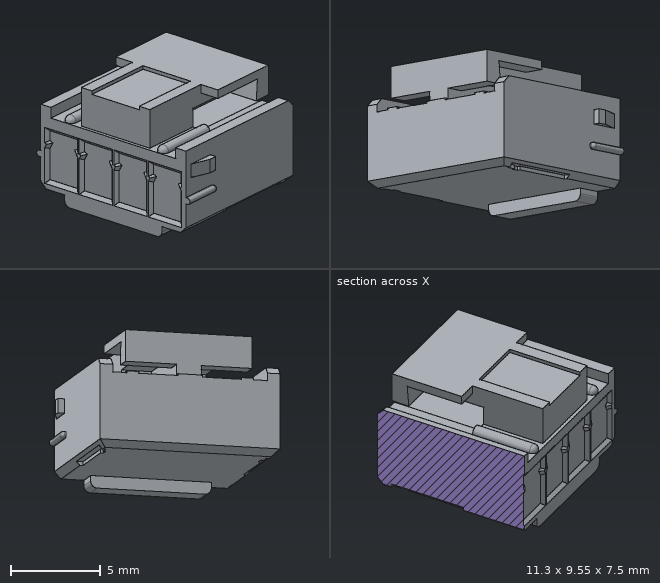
import cadquery as cq
import math


BODY_W = 10.51
BODY_DEPTH = 9.55
BODY_BOTTOM = 0.7
RIM_TOP = 5.8
RIM_W = 0.75
DECK_Z = 5.14
CHAMFER = 0.4

STEP_Y = 4.06
LOW_DECK_Z = 4.97
RAIL_Z = 5.07
CENTRE_RAIL_W = 1.44

POST_R = 0.35
POST_X = 3.35
POST_Z = 5.19
POST_TIP_Y = 0.03

LATCH_TOP = 7.5
LATCH_FRONT_Y = 0.21
LATCH_BACK_Y = 9.29
STEM_W = 4.95
WING_W = 2 * (POST_X + POST_R)
WING_FRONT_Y = 4.77
WING_UNDER_Z = 6.98
ARCH_TOP_Z = 6.28
HOOK_BOTTOM_Z = 5.67
HOOK_TOP_Y = 8.29
HOOK_BOTTOM_Y = 8.19
PAD_W = 3.42
PAD_DEPTH = 0.21

CELL_COUNT = 4
CELL_PITCH = 2.5
CELL_W = 2.41
CELL_BOTTOM = 1.03
CELL_TOP = 4.45
CELL_SLOPE = 0.21
BARB_TOP_Z = 3.51
BARB_TIP_Z = 3.45
BARB_BOTTOM_Z = 3.21
BARB_REACH = 0.12

SPAN_X = 11.3
WEDGE_BOTTOM = 4.02
WEDGE_TOP = 4.85
WEDGE_START_Y = 0.47
WEDGE_CREST_Y = 1.66
WEDGE_END_Y = 2.17

RIB_R = 0.198
RIB_TIP_X = 5.55
RIB_Z = 2.76
RIB_STRAIGHT_Y = 2.29

ROOT_DEPTH = 0.17

FOOT_W = 7.05
FOOT_DEPTH = 1.44
FOOT_R = 0.38

RECESS_TOP = 0.92
RECESS_STEPS = [(3.97, 7.65, 4.69), (7.65, 8.09, 4.52), (8.09, 8.65, 4.69)]


def block(x0, x1, y0, y1, z0, z1):
    return cq.Workplane("XY").box(x1 - x0, y1 - y0, z1 - z0, centered=False).translate((x0, y0, z0))


def centred_block(width, y0, y1, z0, z1):
    return block(-width / 2, width / 2, y0, y1, z0, z1)


def both_sides(shape):
    """The shape together with its mirror image across the YZ plane."""
    return shape.union(shape.mirror("YZ"))


def housing():
    body = centred_block(BODY_W, 0, BODY_DEPTH, BODY_BOTTOM, RIM_TOP)
    body = body.edges("<Z and (>X or <X or >Y)").chamfer(CHAMFER)
    body = body.edges(">Z and >Y").chamfer(CHAMFER)
    channel_w = BODY_W - 2 * RIM_W
    body = body.cut(centred_block(channel_w, 0, BODY_DEPTH, DECK_Z, RIM_TOP))
    return body.cut(centred_block(channel_w, STEP_Y, BODY_DEPTH, LOW_DECK_Z, RIM_TOP))


def rails():
    """Rails behind the posts and on the centre line, where a web rises to carry the latch."""
    centre = centred_block(CENTRE_RAIL_W, STEP_Y, BODY_DEPTH, BODY_BOTTOM + CHAMFER, RAIL_Z)
    web = centred_block(CENTRE_RAIL_W, STEP_Y, LATCH_BACK_Y, LOW_DECK_Z, ARCH_TOP_Z)
    side = block(POST_X - POST_R, POST_X + POST_R, STEP_Y, BODY_DEPTH, BODY_BOTTOM + CHAMFER, RAIL_Z)
    return centre.union(web).union(both_sides(side))


def posts():
    ball_y = POST_TIP_Y + POST_R
    axis = cq.Workplane("XZ", origin=(POST_X, ball_y, POST_Z))
    post = axis.circle(POST_R).extrude(ball_y - STEP_Y)
    return both_sides(post.union(axis.sphere(POST_R)))


def latch():
    stem = centred_block(STEM_W, LATCH_FRONT_Y, LATCH_BACK_Y, LOW_DECK_Z, LATCH_TOP)
    stem = stem.cut(centred_block(STEM_W, STEP_Y, LATCH_BACK_Y, LOW_DECK_Z, ARCH_TOP_Z))
    wings_and_hook = (
        cq.Workplane("YZ", origin=(-WING_W / 2, 0, 0))
        .polyline([
            (WING_FRONT_Y, LATCH_TOP),
            (WING_FRONT_Y, WING_UNDER_Z),
            (HOOK_TOP_Y, WING_UNDER_Z),
            (HOOK_BOTTOM_Y, HOOK_BOTTOM_Z),
            (LATCH_BACK_Y, HOOK_BOTTOM_Z),
            (LATCH_BACK_Y, LATCH_TOP),
        ])
        .close()
        .extrude(WING_W)
    )
    pad = centred_block(PAD_W, LATCH_FRONT_Y, WING_FRONT_Y, LATCH_TOP - PAD_DEPTH, LATCH_TOP)
    return stem.union(wings_and_hook).cut(pad)


def inset_outline(points, inset):
    """Counterclockwise outline with every edge moved inwards by the inset and the corners kept sharp."""
    moved = []
    for i, (x, z) in enumerate(points):
        before = points[i - 1]
        after = points[(i + 1) % len(points)]
        angle_in = math.atan2(z - before[1], x - before[0])
        angle_out = math.atan2(after[1] - z, after[0] - x)
        half_turn = (angle_out - angle_in) / 2
        inward = angle_in + half_turn + math.pi / 2
        reach = inset / math.cos(half_turn)
        moved.append((x + reach * math.cos(inward), z + reach * math.sin(inward)))
    return moved


def cell(centre_x):
    """Shallow cell with 45-degree walls and a pointed barb on each side wall."""
    half = CELL_W / 2
    barb = half - BARB_REACH
    right_side = [
        (half, CELL_BOTTOM),
        (half, BARB_BOTTOM_Z),
        (barb, BARB_TIP_Z),
        (half, BARB_TOP_Z),
        (half, CELL_TOP),
    ]
    left_side = [(-x, z) for x, z in reversed(right_side)]
    mouth = right_side + left_side
    return (
        cq.Workplane("XZ", origin=(centre_x, 0, 0))
        .polyline(mouth)
        .close()
        .workplane(offset=-CELL_SLOPE)
        .polyline(inset_outline(mouth, CELL_SLOPE))
        .close()
        .loft(ruled=True)
    )


def wedges():
    root = BODY_W / 2
    wedge = (
        cq.Workplane("XY", origin=(0, 0, WEDGE_BOTTOM))
        .polyline([
            (root - ROOT_DEPTH, WEDGE_START_Y),
            (root, WEDGE_START_Y),
            (SPAN_X / 2, WEDGE_CREST_Y),
            (SPAN_X / 2, WEDGE_END_Y),
            (root - ROOT_DEPTH, WEDGE_END_Y),
        ])
        .close()
        .extrude(WEDGE_TOP - WEDGE_BOTTOM)
    )
    return both_sides(wedge)


def ribs():
    """Half-round ribs with a rounded rear end."""
    axis_x = RIB_TIP_X - RIB_R
    root_x = BODY_W / 2 - ROOT_DEPTH
    rib = block(root_x, axis_x, 0, RIB_STRAIGHT_Y, RIB_Z - RIB_R, RIB_Z + RIB_R)
    rib = rib.union(cq.Workplane("XZ", origin=(axis_x, 0, RIB_Z)).circle(RIB_R).extrude(-RIB_STRAIGHT_Y))
    rear_end = cq.Workplane("YZ", origin=(root_x, RIB_STRAIGHT_Y, RIB_Z)).circle(RIB_R).extrude(axis_x - root_x)
    corner = cq.Workplane("XY", origin=(axis_x, RIB_STRAIGHT_Y, RIB_Z)).sphere(RIB_R)
    return both_sides(rib.union(rear_end).union(corner))


def foot():
    plate = centred_block(FOOT_W, 0, FOOT_DEPTH, 0, BODY_BOTTOM)
    return plate.edges("|Y and <Z").fillet(FOOT_R)


def edge_recesses():
    recesses = cq.Workplane("XY")
    for start_y, end_y, wall_x in RECESS_STEPS:
        recesses = recesses.union(
            both_sides(block(wall_x, BODY_W / 2, start_y, end_y, BODY_BOTTOM, RECESS_TOP))
        )
    return recesses


result = housing().cut(edge_recesses())
for i in range(CELL_COUNT):
    result = result.cut(cell((i - (CELL_COUNT - 1) / 2) * CELL_PITCH))
for feature in (rails(), posts(), latch(), wedges(), ribs(), foot()):
    result = result.union(feature)